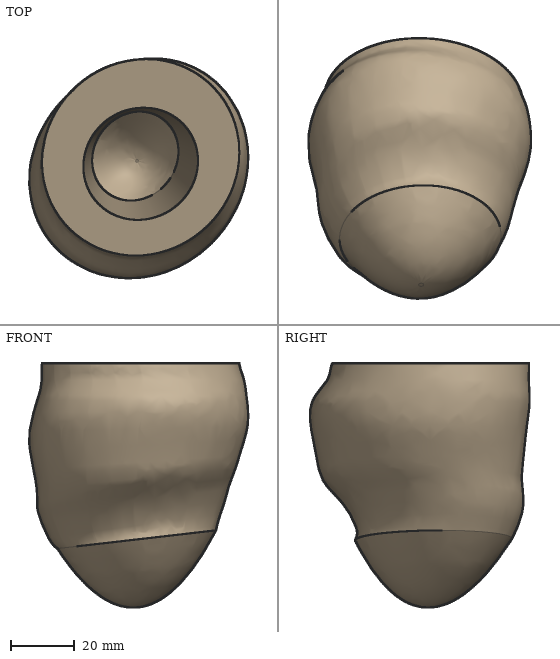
import cadquery as cq
import math

HEIGHT = 76.55
SEAM_HEIGHT = 21.35
SEAM_SLOPE = 0.115
RIM_SKEW = 3
BODY_SKEW = 6
RIM_ZONE = 11.5
RING_POINTS = 24
DOME_SCALES = (1, 0.9, 0.75, 0.6, 0.45, 0.3, 0.15, 0.03)
TIP_WALL = 9.95
DOME_LEAN_X = 0.5
DOME_LEAN_Y = -1.5
TIP_DROP = 0.1

OUTER_RINGS = [
    (HEIGHT, 0, -30.2, 31.55, -27.2, 34.4),
    (74.25, 0, -30.4, 32.1, -27.95, 34.4),
    (69.65, 0, -30.55, 33.4, -30.0, 34.4),
    (61.9, 0, -32.7, 34.3, -34.2, 34.4),
    (54.2, 0.03, -34.3, 33.8, -33.6, 33.4),
    (46.5, 0.06, -33.2, 31.85, -32.1, 32.6),
    (41.3, 0.09, -32.1, 30.55, -30.8, 32.1),
    (37.2, SEAM_SLOPE, -31.85, 29.25, -27.7, 32.3),
    (32.5, SEAM_SLOPE, -31.3, 27.7, -23.6, 32.6),
    (28.9, SEAM_SLOPE, -30.0, 26.65, -21.3, 32.1),
    (SEAM_HEIGHT, SEAM_SLOPE, -25.4, 24.3, -20.1, 29.0),
]
CAVITY_RINGS = [
    (HEIGHT, 0, -17.3, 18.6, -16.0, 19.1),
    (SEAM_HEIGHT, SEAM_SLOPE, -14.55, 12.5, -9.95, 17.9),
]


def ring_wire(ring):
    """Smooth closed wire around a ring."""
    height, slope, x_min, x_max, y_min, y_max = ring
    half_x = (x_max - x_min) / 2
    half_y = (y_max - y_min) / 2
    rim_distance = min((HEIGHT - height) / RIM_ZONE, 1)
    skew = math.radians(RIM_SKEW + (BODY_SKEW - RIM_SKEW) * rim_distance)
    points = []
    for index in range(RING_POINTS):
        angle = 2 * math.pi * index / RING_POINTS
        x = half_x * math.cos(angle)
        y = half_y * math.sin(angle + skew)
        points.append(cq.Vector((x_min + x_max) / 2 + x, (y_min + y_max) / 2 + y, height + slope * x))
    return cq.Wire.assembleEdges([cq.Edge.makeSpline(points, periodic=True)])


def dome_rings(seam, tip_height):
    """Shrinking rings of a leaning paraboloid that hangs below the seam ring."""
    height, slope, x_min, x_max, y_min, y_max = seam
    depth = height - tip_height - TIP_DROP
    rings = []
    for scale in DOME_SCALES:
        drop = 1 - scale ** 2
        x = (x_min + x_max) / 2 + DOME_LEAN_X * drop
        y = (y_min + y_max) / 2 + DOME_LEAN_Y * drop
        half_x = scale * (x_max - x_min) / 2
        half_y = scale * (y_max - y_min) / 2
        rings.append((height - depth * drop, slope, x - half_x, x + half_x, y - half_y, y + half_y))
    return rings


def closed_solid(rings, tip_height):
    """Solid with a flat top, lofted body sides and a lofted dome that share the seam edge."""
    body_wires = [ring_wire(ring) for ring in rings]
    dome_wires = [ring_wire(ring) for ring in dome_rings(rings[-1], tip_height)]
    dome_wires[0] = body_wires[-1]
    sides = loft_sides(body_wires) + loft_sides(dome_wires)
    caps = [cq.Face.makeFromWires(wire) for wire in (body_wires[0], dome_wires[-1])]
    shell = cq.Shell.makeShell(sides + caps)
    return cq.Solid.makeSolid(shell).fix()


def loft_sides(wires):
    """Side faces of a smooth loft, spaced by the distance between its wires."""
    return cq.occ_impl.shapes.loft(wires, parametrization="chordal", compat=False).Faces()


outer = closed_solid(OUTER_RINGS, 0)
cavity = closed_solid(CAVITY_RINGS, TIP_WALL)

result = cq.Workplane(outer).cut(cq.Workplane(cavity))